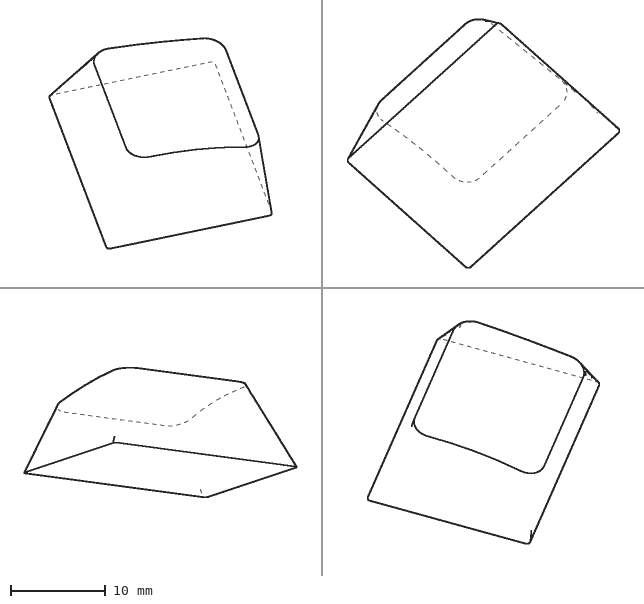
import cadquery as cq
import math

base_width = 22.95
base_depth = 18.2
base_corner = 0.4

front_height = 9.3
back_height = 7.18
front_top_y = -5.53
back_top_y = 8.97

upper_width = 15.93
upper_corner = 2.1
crown_clearance = 0.55

top_run = back_top_y - front_top_y
top_drop = front_height - back_height
top_tilt = math.atan2(top_drop, top_run)

crown_radius = (top_run**2 + top_drop**2) / (2 * top_drop)

front_lean = (front_top_y + base_depth / 2) / front_height
back_lean = (base_depth / 2 - back_top_y) / back_height
upper_front_y = front_top_y + front_lean * crown_clearance
upper_back_y = back_top_y - back_lean * crown_clearance
upper_depth = (upper_back_y - upper_front_y) / math.cos(top_tilt)
upper_mid_y = (upper_front_y + upper_back_y) / 2
upper_mid_z = (front_height + back_height) / 2 + crown_clearance


def tapered_body():
    base = cq.Sketch().rect(base_width, base_depth).vertices().fillet(base_corner)
    upper = cq.Sketch().rect(upper_width, upper_depth).vertices().fillet(upper_corner)
    upper_location = cq.Location(
        cq.Vector(0, upper_mid_y, upper_mid_z),
        cq.Vector(1, 0, 0),
        -math.degrees(top_tilt),
    )
    return cq.Workplane("XY").placeSketch(base, upper.moved(upper_location)).loft(ruled=True)


def crown_cylinder():
    return (
        cq.Workplane("YZ")
        .center(front_top_y, front_height - crown_radius)
        .circle(crown_radius)
        .extrude(base_width / 2, both=True)
    )


result = tapered_body().intersect(crown_cylinder())